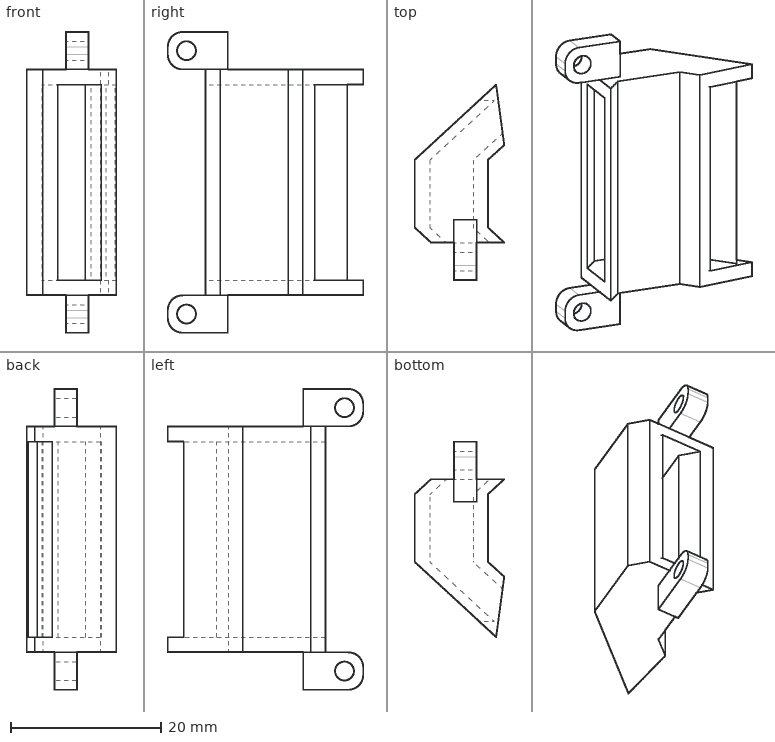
import cadquery as cq

body_height = 30.0
width = 11.9
wall = 2.0
chamfer_x = 2.15
chamfer_y = 2.0
bend_y = 11.0
tip_x = 10.85
tip_y = 21.0
lower_tip_y = 12.95
outer_right_x = width - chamfer_x

tip_cutback = 2.1
overshoot = 0.4

ear_thickness = 3.05
ear_left_x = 5.2
ear_height = 5.0
ear_overlap = 3.0
ear_reach = 5.0
ear_radius = 2.0
hole_diameter = 2.5


def make_body():
    outline = [
        (chamfer_x, 0),
        (width, 0),
        (outer_right_x, chamfer_y),
        (outer_right_x, bend_y),
        (width, lower_tip_y),
        (tip_x, tip_y),
        (0, bend_y),
        (0, chamfer_y),
    ]
    return (
        cq.Workplane("XY").workplane(offset=-body_height / 2)
        .polyline(outline).close().extrude(body_height)
    )


def make_duct():
    outlet_y = tip_y - tip_cutback
    rear_y = tip_y + overshoot
    end_x = width + overshoot

    left_x = wall
    right_x = outer_right_x - wall
    rear_slope = (tip_y - bend_y) / tip_x
    lower_slope = (lower_tip_y - bend_y) / chamfer_x
    lower_end_y = bend_y + lower_slope * (end_x - right_x)
    wall_end_x = left_x + (outlet_y - bend_y) / rear_slope

    cut_left_x = wall_end_x - 2 * wall

    path = [
        (chamfer_x + wall, -overshoot),
        (width - wall, -overshoot),
        (width - wall, 0),
        (right_x, chamfer_y),
        (right_x, bend_y),
        (end_x, lower_end_y),
        (end_x, rear_y),
        (cut_left_x, rear_y),
        (cut_left_x, outlet_y),
        (wall_end_x, outlet_y),
        (left_x, bend_y),
        (left_x, chamfer_y),
        (chamfer_x + wall, 0),
    ]
    duct_height = body_height - 2 * wall
    return (
        cq.Workplane("XY").workplane(offset=-duct_height / 2)
        .polyline(path).close().extrude(duct_height)
    )


def make_ear(center_z):
    length = ear_overlap + ear_reach
    center_x = ear_left_x + ear_thickness / 2
    center_y = (ear_overlap - ear_reach) / 2
    hole_y = -ear_reach / 2
    plate = (
        cq.Workplane("XY").box(ear_thickness, length, ear_height)
        .edges("|X and <Y").fillet(ear_radius)
        .translate((center_x, center_y, center_z))
    )
    hole = (
        cq.Workplane("YZ", origin=(ear_left_x, hole_y, center_z))
        .circle(hole_diameter / 2).extrude(ear_thickness)
    )
    return plate.cut(hole)


result = make_body().cut(make_duct())
for end in (-1, 1):
    result = result.union(make_ear(end * (body_height + ear_height) / 2))